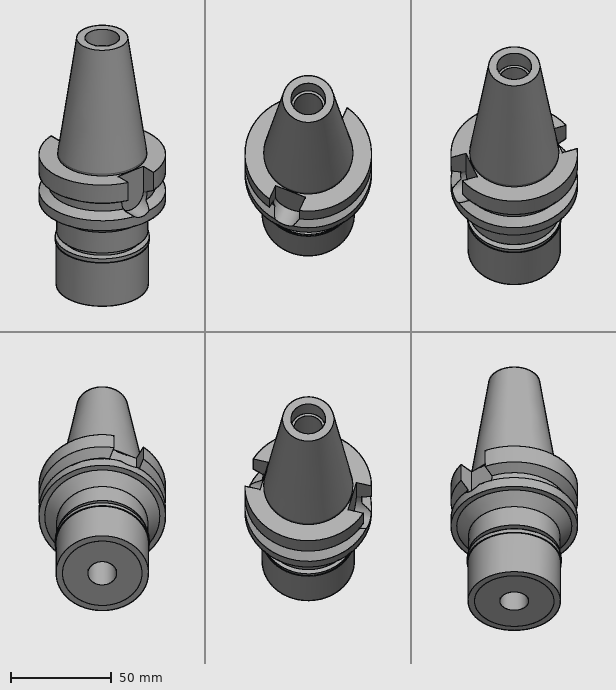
import cadquery as cq

total_height = 140.4
bore_radius = 7.2

gauge_z = 75.0
gauge_radius = 22.2
taper_tip_radius = 12.8
tip_bore_radius = 8.5
tip_bore_depth = 9.3

flange_radius = 31.52
flange_top_z = 74.0
groove_radius = 26.7
groove_top_z = 63.7
groove_floor_top_z = 60.8
groove_floor_bottom_z = 56.5
groove_bottom_z = 53.6
flange_bottom_z = 48.0
cone_top_radius = 28.6

slot_width = 16.1
slot_bottom_z = 52.1
slot_face_x = 22.6

neck_radius = 22.7
neck_top_z = 42.1
neck_bottom_z = 30.3
stem_radius = 19.8

nut_radius = 23.0
nut_top_z = 25.0
collar_radius = 23.5
collar_top_z = 27.4


def drive_slot(side):
    """Cutter for the drive slot on the +X (side=1) or -X (side=-1) flank."""
    round_radius = slot_width / 2
    round_center_z = slot_bottom_z + round_radius
    return (
        cq.Workplane("YZ", origin=(side * slot_face_x, 0, 0))
        .moveTo(-round_radius, flange_top_z)
        .lineTo(-round_radius, round_center_z)
        .threePointArc((0, slot_bottom_z), (round_radius, round_center_z))
        .lineTo(round_radius, flange_top_z)
        .close()
        .extrude(side * (flange_radius - slot_face_x + 1.4))
    )


def make_holder():
    """Revolved holder with a stepped bore and two drive slots."""
    step_z = total_height - tip_bore_depth
    profile = [
        (bore_radius, 0),
        (stem_radius, 0),
        (stem_radius, neck_bottom_z),
        (neck_radius, neck_bottom_z),
        (neck_radius, neck_top_z),
        (cone_top_radius, flange_bottom_z),
        (flange_radius, flange_bottom_z),
        (flange_radius, groove_bottom_z),
        (groove_radius, groove_floor_bottom_z),
        (groove_radius, groove_floor_top_z),
        (flange_radius, groove_top_z),
        (flange_radius, flange_top_z),
        (gauge_radius, flange_top_z),
        (gauge_radius, gauge_z),
        (taper_tip_radius, total_height),
        (tip_bore_radius, total_height),
        (tip_bore_radius, step_z),
        (bore_radius, step_z),
    ]
    holder = cq.Workplane("XZ").polyline(profile).close().revolve(360, (0, 0), (0, 1))
    for side in (-1, 1):
        holder = holder.cut(drive_slot(side))
    return holder


def make_sleeve(outer_radius, bottom_z, top_z):
    """Plain sleeve that fits around the stem."""
    return (
        cq.Workplane("XY", origin=(0, 0, bottom_z))
        .circle(outer_radius)
        .circle(stem_radius)
        .extrude(top_z - bottom_z)
    )


holder = make_holder()
nut = make_sleeve(nut_radius, 0, nut_top_z)
collar = make_sleeve(collar_radius, nut_top_z, collar_top_z)

result = cq.Compound.makeCompound([holder.val(), nut.val(), collar.val()])